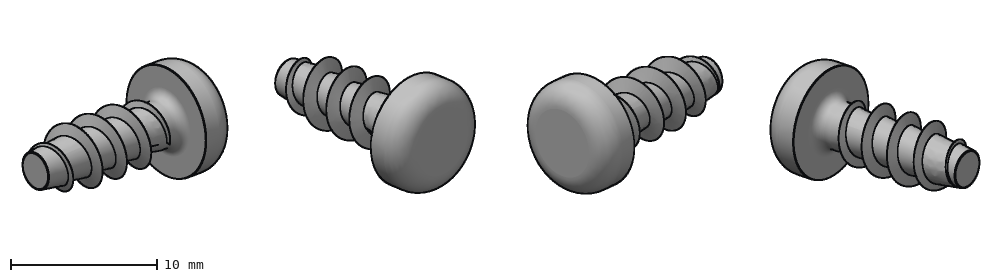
import cadquery as cq
import math


head_diameter = 8.2
head_radius = head_diameter / 2
head_height = 2.89
dome_radius = 1.62
rim_chamfer = 0.05
neck_radius = 1.71
neck_fillet = 0.76
neck_end = 1.25
length = 14.89
tip_depth = length - head_height

core_radius = 1.4
core_start = 3.28
swell_radius = 1.68
swell_end_radius = 1.43
swell_inner_radius = 1.04
swell_length = 2.19
core_overrun = 0.45
tip_radius = 1.37
tip_face_radius = 1.28
tip_chamfer_height = 0.03
tip_cone_radius = 1.74
tip_cone_start = 9.23

pitch = 2.23
crest_diameter = 4.99
crest_radius = crest_diameter / 2
crest_half_width = 0.01
tooth_height = 1.27
flank_angle = 17.0
flank_slope = math.tan(math.radians(flank_angle))
tooth_half_width = crest_half_width + tooth_height * flank_slope
first_crest_depth = 3.62
thread_start = 1.25
run_in_radius = 1.92
run_in_end = 3.42
run_out_start = 8.67
segments_per_turn = 2
steps_per_segment = 12


def crest_at(depth):
    """Crest radius: growing over the run-in, constant, then shrinking to the tip radius."""
    run_in_part = (depth - thread_start) / (run_in_end - thread_start)
    run_in = run_in_radius + (crest_radius - run_in_radius) * run_in_part
    run_out_part = (depth - run_out_start) / (tip_depth - run_out_start)
    run_out = crest_radius - (crest_radius - tip_radius) * run_out_part
    return min(crest_radius, run_in, run_out)


def constant_radius(radius):
    return lambda depth: radius


def profile_at(corners, depth):
    """Closed wire of the profile in the half-plane that the thread reaches at this depth."""
    angle = 2 * math.pi * (depth - first_crest_depth) / pitch
    points = []
    for radius_at, offset in corners:
        radius = radius_at(depth)
        points.append(cq.Vector(radius * math.cos(angle), -depth - offset, radius * math.sin(angle)))
    return cq.Wire.makePolygon(points, close=True)


def helical_segments(corners, end_depth):
    """Short lofts that wind a profile around the axis; each corner is (radius function, axial offset)."""
    count = math.ceil((end_depth - thread_start) / pitch * segments_per_turn)
    step = (end_depth - thread_start) / count
    segments = []
    for i in range(count):
        start = thread_start + i * step
        profiles = [
            profile_at(corners, start + step * k / steps_per_segment)
            for k in range(steps_per_segment + 1)
        ]
        segments.append(cq.Workplane(cq.Solid.makeLoft(profiles)))
    return segments


def make_head_and_core():
    diagonal = math.sqrt(0.5)
    dome_center = (head_radius - dome_radius, head_height - dome_radius)
    dome_middle = (dome_center[0] + dome_radius * diagonal, dome_center[1] + dome_radius * diagonal)
    fillet_center = (neck_radius + neck_fillet, -neck_fillet)
    fillet_middle = (fillet_center[0] - neck_fillet * diagonal, fillet_center[1] + neck_fillet * diagonal)
    return (
        cq.Workplane("XY")
        .moveTo(0, head_height)
        .lineTo(dome_center[0], head_height)
        .threePointArc(dome_middle, (head_radius, dome_center[1]))
        .lineTo(head_radius, rim_chamfer)
        .lineTo(head_radius - rim_chamfer, 0)
        .lineTo(fillet_center[0], 0)
        .threePointArc(fillet_middle, (neck_radius, -neck_fillet))
        .lineTo(neck_radius, -neck_end)
        .lineTo(core_radius, -core_start)
        .lineTo(core_radius, -tip_depth - core_overrun)
        .lineTo(0, -tip_depth - core_overrun)
        .close()
        .revolve(360, (0, 0, 0), (0, 1, 0))
    )


def make_tip_cutter():
    """Ring and slab that trim the core to a slightly tapered, blunt tip."""
    cutter_end = -tip_depth - pitch - 2 * core_overrun
    return (
        cq.Workplane("XY")
        .polyline([
            (tip_cone_radius, -tip_cone_start),
            (tip_radius, -tip_depth + tip_chamfer_height),
            (tip_face_radius, -tip_depth),
            (0, -tip_depth),
            (0, cutter_end),
            (head_radius, cutter_end),
            (head_radius, -tip_cone_start),
        ])
        .close()
        .revolve(360, (0, 0, 0), (0, 1, 0))
    )


def make_core_swell():
    corners = [
        (constant_radius(swell_inner_radius), 0),
        (constant_radius(swell_radius), 0),
        (constant_radius(swell_end_radius), swell_length),
        (constant_radius(swell_inner_radius), swell_length),
    ]
    return helical_segments(corners, tip_depth + core_overrun)


def tooth_root_at(depth):
    return crest_at(depth) - tooth_height


def make_thread():
    corners = [
        (tooth_root_at, -tooth_half_width),
        (crest_at, -crest_half_width),
        (crest_at, crest_half_width),
        (tooth_root_at, tooth_half_width),
    ]
    return helical_segments(corners, tip_depth - tooth_half_width)


def join(body, segments):
    for segment in segments:
        body = body.union(segment)
    return body


core = join(make_head_and_core(), make_core_swell()).cut(make_tip_cutter())
result = join(core, make_thread())